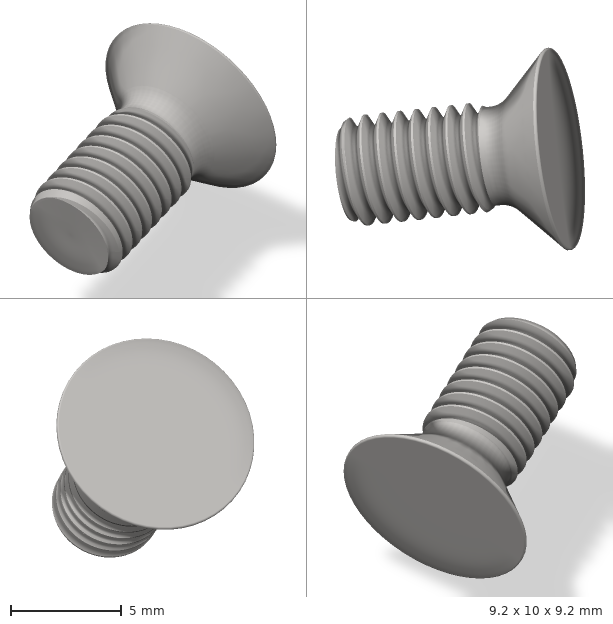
import cadquery as cq
import math


screw_length = 10.0
head_diameter = 9.2
rim_height = 0.15
rim_round = 0.08
head_half_angle = 45.0
neck_diameter = 4.48
neck_fillet = 1.3
thread_start = 3.26
thread_diameter = 5.0
thread_pitch = 0.8
thread_half_angle = 30.0
groove_depth_at_end = 9.9
groove_overrun = 0.04
tip_diameter = 4.36
dish_diameter = 4.12
dish_depth = 0.08
lead_angle = 30.0

head_radius = head_diameter / 2
neck_radius = neck_diameter / 2
thread_radius = thread_diameter / 2
tip_radius = tip_diameter / 2
lead_slope = math.tan(math.radians(lead_angle))
crest_width = thread_pitch / 8
root_radius = thread_pitch * math.sqrt(3) / 12


def make_head():
    """Head rim, countersink cone, neck fillet and plain neck as one revolve."""
    angle = math.radians(head_half_angle)
    half = angle / 2
    fillet_top_radius = neck_radius + neck_fillet * (1 - math.cos(angle))
    fillet_top = -rim_height - (head_radius - fillet_top_radius) / math.tan(angle)
    fillet_bottom = fillet_top - neck_fillet * math.sin(angle)
    fillet_middle = (
        neck_radius + neck_fillet * (1 - math.cos(half)),
        fillet_bottom + neck_fillet * math.sin(half),
    )
    outline = (
        cq.Workplane("XZ")
        .lineTo(head_radius, 0)
        .lineTo(head_radius, -rim_height)
        .lineTo(fillet_top_radius, fillet_top)
        .threePointArc(fillet_middle, (neck_radius, fillet_bottom))
        .lineTo(neck_radius, -thread_start)
        .lineTo(0, -thread_start)
        .close()
    )
    return outline.revolve(360, (0, 0, 0), (0, 1, 0)).faces(">Z").edges().fillet(rim_round)


def make_shank_blank():
    """Unthreaded shank with a conical lead at both ends."""
    upper_lead = (thread_radius - neck_radius) / lead_slope
    tip_lead = (thread_radius - tip_radius) / lead_slope
    outline = (
        cq.Workplane("XZ")
        .moveTo(0, -thread_start)
        .lineTo(neck_radius, -thread_start)
        .lineTo(thread_radius, -thread_start - upper_lead)
        .lineTo(thread_radius, -screw_length + tip_lead)
        .lineTo(tip_radius, -screw_length)
        .lineTo(0, -screw_length)
        .close()
    )
    return outline.revolve(360, (0, 0, 0), (0, 1, 0))


def make_groove_turn(root_depth):
    """One right-hand turn of the V groove with a rounded bottom, rising from root_depth."""
    angle = math.radians(thread_half_angle)
    flank_slope = math.tan(angle)

    mouth_half = (thread_pitch - crest_width) / 2
    apex_radius = thread_radius - mouth_half / flank_slope
    arc_centre = apex_radius + root_radius / math.sin(angle)
    root_bottom = arc_centre - root_radius
    tangent_radius = arc_centre - root_radius * math.sin(angle)
    tangent_half = root_radius * math.cos(angle)
    outer_radius = thread_radius + groove_overrun
    outer_half = mouth_half + groove_overrun * flank_slope

    profile = (
        cq.Workplane("XZ", origin=(0, 0, -root_depth))
        .moveTo(outer_radius, outer_half)
        .lineTo(tangent_radius, tangent_half)
        .threePointArc((root_bottom, 0), (tangent_radius, -tangent_half))
        .lineTo(outer_radius, -outer_half)
        .close()
    )
    helix = cq.Wire.makeHelix(
        thread_pitch, thread_pitch, thread_radius, cq.Vector(0, 0, -root_depth)
    )
    return profile.sweep(cq.Workplane(obj=helix), isFrenet=True)


def make_threaded_shank():
    """Cut the groove turn by turn until it has run out past both ends of the shank."""
    shank = make_shank_blank()
    turns = math.ceil((groove_depth_at_end - thread_start) / thread_pitch) + 2
    for turn in range(turns):
        root_depth = groove_depth_at_end + thread_pitch * (1 - turn)
        shank = shank.cut(make_groove_turn(root_depth))
    return shank


def make_tip_dish():
    """Shallow cone that hollows the tip face, deepest on the screw axis."""
    outline = (
        cq.Workplane("XZ")
        .moveTo(0, -screw_length)
        .lineTo(dish_diameter / 2, -screw_length)
        .lineTo(0, -screw_length + dish_depth)
        .close()
    )
    return outline.revolve(360, (0, 0, 0), (0, 1, 0))


screw = make_head().union(make_threaded_shank()).cut(make_tip_dish())

result = screw.rotate((0, 0, 0), (1, 0, 0), -90)